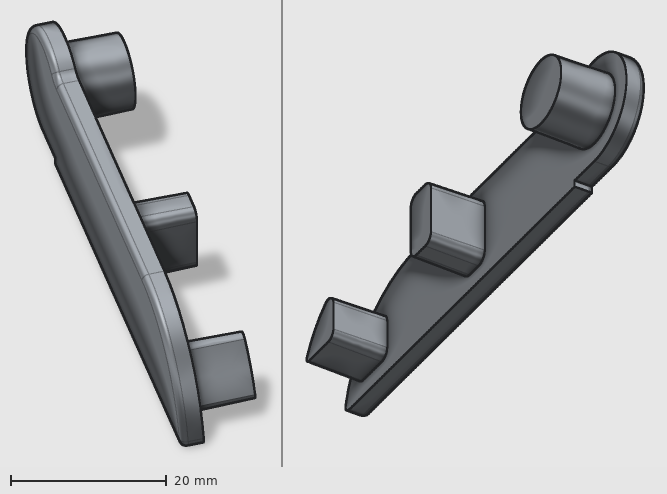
import cadquery as cq
import math

plate_thickness = 3.0
head_diameter = 16.0
height = 17.0
step_x = 12.9
body_top = 15.0
neck_radius = 3.0
nose_start_x = 52.4
nose_radius = 18.05
corner_radius = 1.0
front_rounding = 0.9

peg_length = 8.0
peg_draft = 1.0
peg_bottom = 2.65
round_peg_diameter = 10.1
middle_peg_x = 37.9
middle_peg_width = 5.05
middle_peg_height = 9.8
middle_peg_rounding = 1.4
nose_peg_left = 59.7
nose_peg_inset = 2.65
nose_peg_rounding = 1.25
nose_peg_tip_rounding = 0.6

head_radius = head_diameter / 2
head_x = head_radius
head_z = height - head_radius
step_height = height - head_diameter
nose_centre_z = body_top - nose_radius
peg_tip_y = plate_thickness + peg_length


def nose_arc_point(radius, angle):
    """Point (x, z) on an arc around the centre of the nose."""
    return (
        nose_start_x + radius * math.cos(angle),
        nose_centre_z + radius * math.sin(angle),
    )


def make_plate():
    """Round head, straight body and arched nose, rounded along the front edge."""
    neck_rise = body_top + neck_radius - head_z
    centre_distance = head_radius + neck_radius
    neck_x = head_x + math.sqrt(centre_distance**2 - neck_rise**2)
    neck_angle = math.asin(neck_rise / centre_distance)
    head_end = (
        head_x + head_radius * math.cos(neck_angle),
        head_z + head_radius * math.sin(neck_angle),
    )
    tip_angle = math.asin(-nose_centre_z / nose_radius)
    middle_angle = (tip_angle + math.pi / 2) / 2
    nose_tip = nose_arc_point(nose_radius, tip_angle)
    nose_middle = nose_arc_point(nose_radius, middle_angle)
    outline = (
        cq.Workplane("XZ")
        .moveTo(step_x, 0)
        .lineTo(step_x, step_height)
        .lineTo(head_x, step_height)
        .threePointArc((head_x - head_radius, head_z), head_end)
        .tangentArcPoint((neck_x, body_top), relative=False)
        .lineTo(nose_start_x, body_top)
        .threePointArc(nose_middle, nose_tip)
        .close()
    )
    plate = outline.extrude(-plate_thickness)
    plate = plate.edges("|Y and >X").fillet(corner_radius)
    return plate.faces("<Y").edges().fillet(front_rounding)


def tip_plane():
    """Plane through the free ends of the pegs."""
    return cq.Workplane("XZ", origin=(0, peg_tip_y, 0))


def make_peg(tip_profile):
    """Extrude a tip profile down to the plate, widening it by the draft."""
    return tip_profile.extrude(peg_length, taper=-peg_draft)


def make_round_peg():
    return make_peg(tip_plane().center(head_x, head_z).circle(round_peg_diameter / 2))


def make_middle_peg():
    profile = cq.Sketch().rect(middle_peg_width, middle_peg_height)
    profile = profile.vertices().fillet(middle_peg_rounding)
    centre_z = peg_bottom + middle_peg_height / 2
    return make_peg(tip_plane().center(middle_peg_x, centre_z).placeSketch(profile))


def make_nose_peg():
    """Peg with upright left and flat lower sides, closed by an arc parallel to the nose."""
    arc_radius = nose_radius - nose_peg_inset
    low_angle = math.asin((peg_bottom - nose_centre_z) / arc_radius)
    high_angle = math.acos((nose_peg_left - nose_start_x) / arc_radius)
    bottom_left = (nose_peg_left, peg_bottom)
    bottom_right = nose_arc_point(arc_radius, low_angle)
    arc_middle = nose_arc_point(arc_radius, (low_angle + high_angle) / 2)
    top_left = nose_arc_point(arc_radius, high_angle)
    profile = (
        cq.Sketch()
        .segment(bottom_left, bottom_right)
        .arc(bottom_right, arc_middle, top_left)
        .segment(top_left, bottom_left)
        .assemble()
        .vertices("<X")
        .fillet(nose_peg_rounding)
        .reset()
        .vertices(">X")
        .fillet(nose_peg_tip_rounding)
    )
    return make_peg(tip_plane().placeSketch(profile))


result = make_plate().union(make_round_peg()).union(make_middle_peg()).union(make_nose_peg())